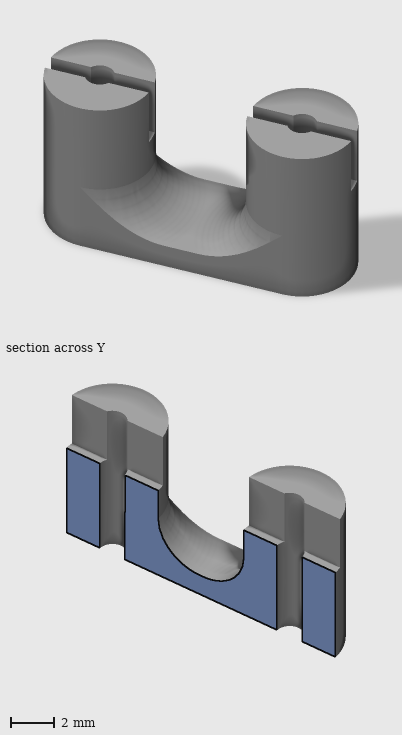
import cadquery as cq

length = 15.19
post_diameter = 5.2
height = 8.2

post_radius = post_diameter / 2
post_offset = length / 2 - post_radius
bore_diameter = 1.4
slot_width = 0.79
slot_depth = 2.98

floor_height = 1.2
flare_radius = 2.3
flare_top = floor_height + flare_radius
flare_foot = post_radius + flare_radius


def make_flare_cutter():
    """Revolve the space above the flare and floor around the left post axis."""
    arc_scale = 0.5 ** 0.5
    arc_middle = (
        flare_foot - flare_radius * arc_scale,
        flare_top - flare_radius * arc_scale,
    )
    cutter = (
        cq.Workplane("XZ")
        .moveTo(post_radius, height)
        .lineTo(post_radius, flare_top)
        .threePointArc(arc_middle, (flare_foot, floor_height))
        .lineTo(length, floor_height)
        .lineTo(length, height)
        .close()
        .revolve(360, (0, 0, 0), (0, 1, 0))
    )
    return cutter.translate((-post_offset, 0, 0))


def make_half_bridge():
    """Left half of the bridge, from the post axis to the middle of the part."""
    block = (
        cq.Workplane("XY")
        .center(-post_offset / 2, 0)
        .rect(post_offset, post_diameter)
        .extrude(flare_top)
    )
    return block.cut(make_flare_cutter())


half_bridge = make_half_bridge()
bridge = half_bridge.union(half_bridge.mirror("YZ"))

post_centres = [(-post_offset, 0), (post_offset, 0)]
posts = cq.Workplane("XY").pushPoints(post_centres).circle(post_radius).extrude(height)

bores = cq.Workplane("XY").pushPoints(post_centres).circle(bore_diameter / 2).extrude(height)

slots = (
    cq.Workplane("XY")
    .workplane(offset=height - slot_depth)
    .rect(length, slot_width)
    .extrude(slot_depth)
)

result = bridge.union(posts).cut(bores).cut(slots)